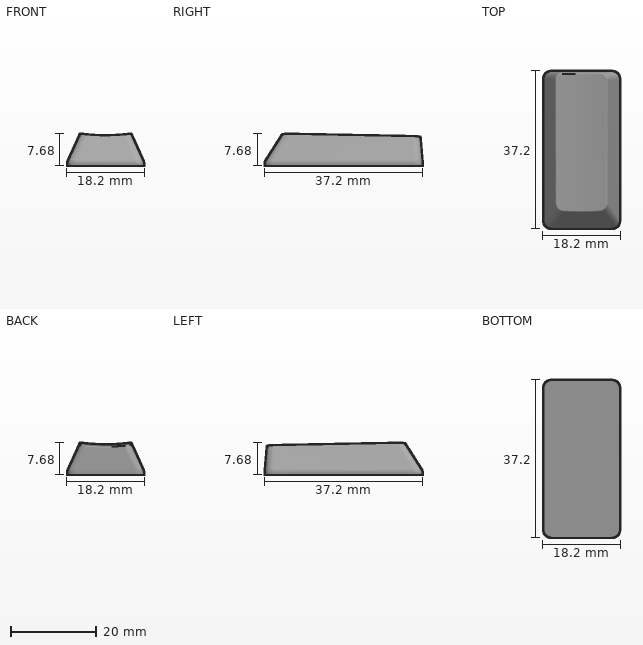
import cadquery as cq
import math


width = 18.15
length = 37.2
foot_corner_radius = 2.0

side_lean = 25.0
front_lean = 32.4
back_lean = 4.9

bend_start = 0.6
bend_end = 1.35
bend_steps = 4
uncut_height = 8.93
uncut_corner_radius = 1.8

top_tilt = 1.1

dish_radius = 42.8
dish_floor_height = 7.05

rim_rounding = 0.3


def wall_inset(lean, z):
    """How far a wall with this lean has moved inward at height z."""
    lean = math.radians(lean)
    bend_radius = (bend_end - bend_start) / math.sin(lean)
    climb = min(max(z - bend_start, 0), bend_end - bend_start)
    bent_part = bend_radius - math.sqrt(bend_radius**2 - climb**2)
    straight_part = max(z - bend_end, 0) * math.tan(lean)
    return bent_part + straight_part


def outline(z, tilt=0.0):
    """Closed wire with rounded corners around the cap, in a plane at height z over the middle.

    A tilted plane sinks toward the back, so the end walls meet it further back.
    """
    slope = math.tan(math.radians(tilt))
    stretch = math.cos(math.radians(tilt))
    level_front = -length / 2 + wall_inset(front_lean, z)
    level_back = length / 2 - wall_inset(back_lean, z)
    front = level_front / (1 + slope * math.tan(math.radians(front_lean))) / stretch
    back = level_back / (1 - slope * math.tan(math.radians(back_lean))) / stretch
    right = width / 2 - wall_inset(side_lean, z)

    above_bend = max(z - bend_end, 0) / (uncut_height - bend_end)
    radius = foot_corner_radius + above_bend * (uncut_corner_radius - foot_corner_radius)
    mid_arc = radius * (1 - math.sqrt(0.5))
    plane = cq.Plane(origin=(0, 0, z), xDir=(1, 0, 0), normal=(0, slope, 1))
    return (
        cq.Workplane(plane)
        .moveTo(radius - right, front)
        .lineTo(right - radius, front)
        .threePointArc((right - mid_arc, front + mid_arc), (right, front + radius))
        .lineTo(right, back - radius)
        .threePointArc((right - mid_arc, back - mid_arc), (right - radius, back))
        .lineTo(radius - right, back)
        .threePointArc((mid_arc - right, back - mid_arc), (-right, back - radius))
        .lineTo(-right, front + radius)
        .threePointArc((mid_arc - right, front + mid_arc), (radius - right, front))
        .close()
        .val()
    )


def make_body():
    """Skirt, bend and straight walls stacked into one solid."""
    bend_rise = (bend_end - bend_start) / bend_steps
    bend_outlines = [outline(bend_start + step * bend_rise) for step in range(bend_steps + 1)]
    skirt = cq.Solid.makeLoft([outline(0), outline(bend_start)], True)
    bend = cq.Solid.makeLoft(bend_outlines)
    walls = cq.Solid.makeLoft([outline(bend_end), outline(uncut_height, top_tilt)], True)
    return cq.Workplane(skirt).union(bend).union(walls)


def make_dish():
    """Cylinder that scoops the top; its axis sinks toward the back."""
    middle = cq.Vector(0, 0, dish_floor_height + dish_radius)
    tilt = math.radians(top_tilt)
    direction = cq.Vector(0, math.cos(tilt), -math.sin(tilt))
    start = middle - direction * length
    return cq.Workplane(cq.Solid.makeCylinder(dish_radius, 2 * length, start, direction))


scooped_body = make_body().cut(make_dish())
dish_face = scooped_body.faces(cq.selectors.NearestToPointSelector((0, 0, dish_floor_height)))
result = dish_face.edges().fillet(rim_rounding)